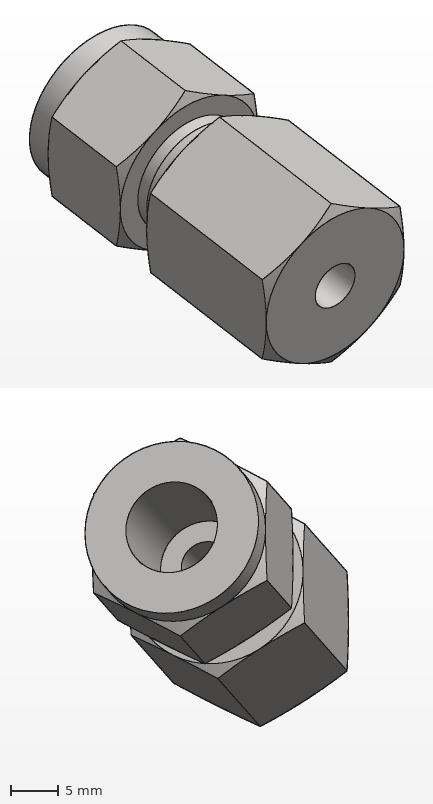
import cadquery as cq
import math

total_length = 39.4
across_flats = 19.0
across_corners = across_flats / math.cos(math.radians(30))

collar_end = 3.1
nut_end = 15.13
shoulder_end = 16.63
taper_end = 17.95
body_start = 19.5

shoulder_diameter = 14.2
neck_diameter = 11.75
tube_bore_diameter = 10.0
through_bore_diameter = 5.48

chamfer_length = 0.67
tube_bore_depth = nut_end


def cylinder(start, end, diameter):
    """Round bar along X between two stations."""
    return cq.Workplane("YZ", origin=(start, 0, 0)).circle(diameter / 2).extrude(end - start)


def chamfered_hexagon(start, end):
    """Hexagonal bar with corners up and down, turned to a cone at both ends."""
    bar = (
        cq.Workplane("YZ", origin=(start, 0, 0))
        .polygon(6, across_corners)
        .extrude(end - start)
        .rotate((0, 0, 0), (1, 0, 0), 90)
    )
    face_radius = across_flats / 2
    corner_radius = across_corners / 2
    envelope = (
        cq.Workplane("XY")
        .moveTo(start, 0)
        .lineTo(start, face_radius)
        .lineTo(start + chamfer_length, corner_radius)
        .lineTo(end - chamfer_length, corner_radius)
        .lineTo(end, face_radius)
        .lineTo(end, 0)
        .close()
        .revolve(360, (0, 0, 0), (1, 0, 0))
    )
    return bar.intersect(envelope)


def stepped_neck():
    """Shoulder behind the nut, tapering down to the neck that meets the body."""
    return (
        cq.Workplane("XY")
        .moveTo(nut_end, 0)
        .lineTo(nut_end, shoulder_diameter / 2)
        .lineTo(shoulder_end, shoulder_diameter / 2)
        .lineTo(taper_end, neck_diameter / 2)
        .lineTo(body_start, neck_diameter / 2)
        .lineTo(body_start, 0)
        .close()
        .revolve(360, (0, 0, 0), (1, 0, 0))
    )


collar = cylinder(0, collar_end, across_flats)
nut = chamfered_hexagon(collar_end, nut_end)
body = chamfered_hexagon(body_start, total_length)
fitting = collar.union(nut).union(stepped_neck()).union(body)

tube_bore = cylinder(0, tube_bore_depth, tube_bore_diameter)
through_bore = cylinder(0, total_length, through_bore_diameter)
result = fitting.cut(tube_bore).cut(through_bore)